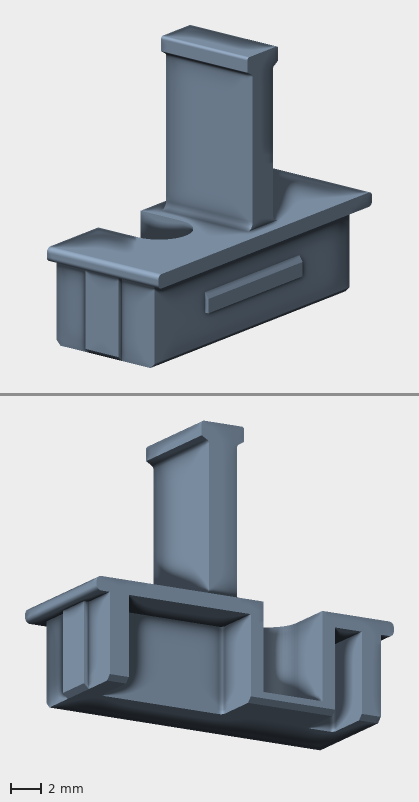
import cadquery as cq
import math

PLATE_WIDTH = 9.4
PLATE_LENGTH = 22.7
PLATE_THICKNESS = 1.0
PLATE_EDGE_RADIUS = 0.35

BLOCK_WIDTH = 8.3
BLOCK_LENGTH = 20.7
BLOCK_HEIGHT = 6.0
BOTTOM_CHAMFER = 0.36
PLATE_TOP = BLOCK_HEIGHT + PLATE_THICKNESS

PAD_WIDTH = BLOCK_WIDTH / 3
PAD_DEPTH = 0.36

SLOT_CENTER_Y = -3.64
SLOT_RADIUS = 2.25
SLOT_REACH = 5.6
SLOT_FLOOR = 0.8

SLOT_WALL = 0.97
END_WALL = 1.45
RECESS_DEPTH = 3.7
RECESS_CORNER_RADIUS = 0.3

TOTAL_HEIGHT = 19.1
HANDLE_WIDTH = 7.3
HANDLE_THICKNESS = 2.15
HANDLE_CENTER_Y = 1.125
HANDLE_FOOT_RADIUS = 0.5
HEAD_THICKNESS = 3.25
HEAD_SIDE_HEIGHT = 1.03
HEAD_SLOPE = 30
HEAD_TOP_RADIUS = 0.2
HEAD_NECK_RADIUS = 0.25

RIDGE_BOTTOM = 2.55
RIDGE_TOP = 3.97
RIDGE_DEPTH = 0.28
RIDGE_LEAD_IN = 0.42
RIDGE_LENGTH = 10.0


def box(x_min, x_max, y_min, y_max, z_min, z_max):
    """Box between the given limits."""
    size = (x_max - x_min, y_max - y_min, z_max - z_min)
    return cq.Workplane("XY").box(*size, centered=False).translate((x_min, y_min, z_min))


def make_plate():
    """Cover plate with rounded end edges."""
    half = PLATE_LENGTH / 2
    plate = box(0, PLATE_WIDTH, -half, half, BLOCK_HEIGHT, PLATE_TOP)
    return plate.faces("<Y or >Y").edges("|X").fillet(PLATE_EDGE_RADIUS)


def make_block():
    """Block with its two long bottom edges chamfered."""
    half = BLOCK_LENGTH / 2
    block = box(0, BLOCK_WIDTH, -half, half, 0, BLOCK_HEIGHT)
    return block.faces("<Z").edges("|Y").chamfer(BOTTOM_CHAMFER)


def make_pads():
    """Bar through the block whose two ends stand out as pads, chamfered below."""
    x_min = (BLOCK_WIDTH - PAD_WIDTH) / 2
    half = BLOCK_LENGTH / 2 + PAD_DEPTH
    bar = box(x_min, x_min + PAD_WIDTH, -half, half, 0, BLOCK_HEIGHT)
    return bar.faces("<Z").edges("|X").chamfer(BOTTOM_CHAMFER)


def make_recess(y_min, y_max):
    """Cutter for one recess, with its two inner upright corners rounded."""
    cutter = box(0, RECESS_DEPTH, y_min, y_max, 0, BLOCK_HEIGHT)
    return cutter.faces(">X").edges("|Z").fillet(RECESS_CORNER_RADIUS)


def make_slot():
    """Cutter for the round-ended slot."""
    straight = SLOT_REACH - SLOT_RADIUS
    return (
        cq.Workplane("XY", origin=(0, SLOT_CENTER_Y, SLOT_FLOOR))
        .moveTo(0, -SLOT_RADIUS)
        .lineTo(straight, -SLOT_RADIUS)
        .threePointArc((SLOT_REACH, 0), (straight, SLOT_RADIUS))
        .lineTo(0, SLOT_RADIUS)
        .close()
        .extrude(PLATE_TOP - SLOT_FLOOR)
    )


def make_handle():
    """T-shaped handle, flush with the +X face of the block."""
    stem = HANDLE_THICKNESS / 2
    head = HEAD_THICKNESS / 2
    head_side_bottom = TOTAL_HEIGHT - HEAD_SIDE_HEIGHT
    neck = head_side_bottom - (head - stem) * math.tan(math.radians(HEAD_SLOPE))
    outline = [
        (-stem, PLATE_TOP),
        (-stem, neck),
        (-head, head_side_bottom),
        (-head, TOTAL_HEIGHT),
        (head, TOTAL_HEIGHT),
        (head, head_side_bottom),
        (stem, neck),
        (stem, PLATE_TOP),
    ]
    x_min = BLOCK_WIDTH - HANDLE_WIDTH
    handle = (
        cq.Workplane("YZ", origin=(x_min, HANDLE_CENTER_Y, 0))
        .polyline(outline)
        .close()
        .extrude(HANDLE_WIDTH)
    )
    for side in (-1, 1):
        neck_point = (x_min + HANDLE_WIDTH / 2, HANDLE_CENTER_Y + side * stem, neck)
        neck_edge = cq.selectors.NearestToPointSelector(neck_point)
        handle = handle.edges("|X").edges(neck_edge).fillet(HEAD_NECK_RADIUS)
    return handle.faces(">Z").edges("|X").fillet(HEAD_TOP_RADIUS)


def make_foot_fillet(side):
    """Concave fillet strip where one face of the handle meets the plate."""
    radius = HANDLE_FOOT_RADIUS
    face = side * HANDLE_THICKNESS / 2
    toe = face + side * radius
    arc_offset = radius * (1 - math.sqrt(0.5))
    return (
        cq.Workplane("YZ", origin=(BLOCK_WIDTH - HANDLE_WIDTH, HANDLE_CENTER_Y, PLATE_TOP))
        .moveTo(face, 0)
        .lineTo(toe, 0)
        .threePointArc((face + side * arc_offset, arc_offset), (face, radius))
        .close()
        .extrude(HANDLE_WIDTH)
    )


def make_ridge():
    """Snap ridge with a sloped upper face."""
    outline = [
        (BLOCK_WIDTH, RIDGE_BOTTOM),
        (BLOCK_WIDTH + RIDGE_DEPTH, RIDGE_BOTTOM),
        (BLOCK_WIDTH + RIDGE_DEPTH, RIDGE_TOP - RIDGE_LEAD_IN),
        (BLOCK_WIDTH, RIDGE_TOP),
    ]
    return cq.Workplane("XZ").polyline(outline).close().extrude(RIDGE_LENGTH / 2, both=True)


slot_wall_reach = SLOT_RADIUS + SLOT_WALL
recess_limit = BLOCK_LENGTH / 2 - END_WALL

result = make_block().union(make_pads()).union(make_plate())
result = result.cut(make_recess(SLOT_CENTER_Y + slot_wall_reach, recess_limit))
result = result.cut(make_recess(-recess_limit, SLOT_CENTER_Y - slot_wall_reach))
result = result.cut(make_slot())
result = result.union(make_handle())
for handle_side in (-1, 1):
    result = result.union(make_foot_fillet(handle_side))
result = result.union(make_ridge())